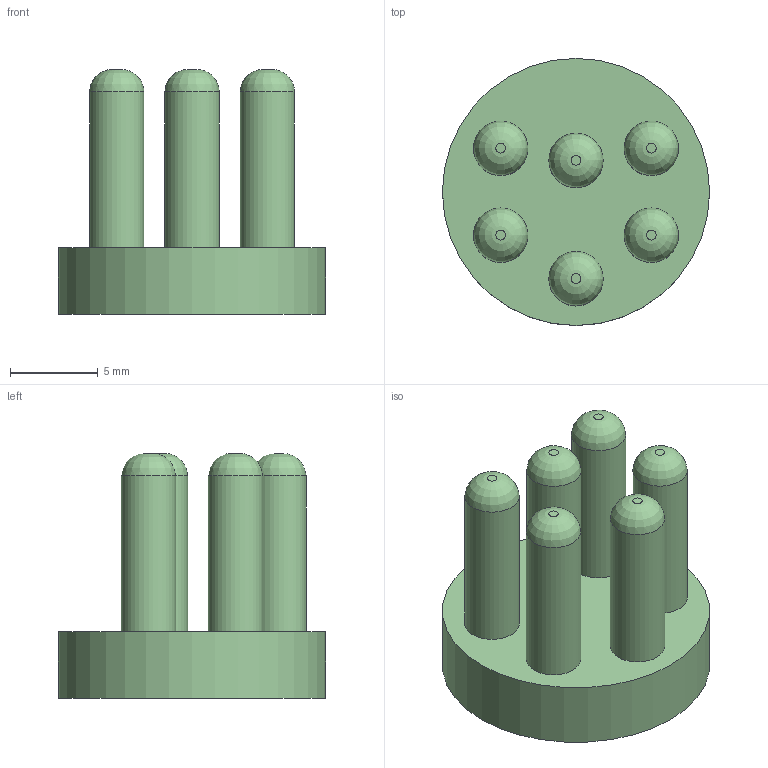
import cadquery as cq
import math

base_diameter = 15.24
base_height = 3.81

pin_diameter = 3.1
pin_length = 10.16
tip_radius = 1.27

pitch_radius = 4.96
pitch_angles = (30, 150, 210, 270, 330)
key_pin_y = 1.79


def pitch_point(angle):
    """Return the XY point on the pitch circle at an angle in degrees."""
    radians = math.radians(angle)
    return (pitch_radius * math.cos(radians), pitch_radius * math.sin(radians))


def make_base():
    """Disc standing on the XY plane, centred on Z."""
    return cq.Workplane("XY").circle(base_diameter / 2).extrude(base_height)


def make_pin(x, y):
    """Pin rising from the top of the base, with its tip rounded to a small flat."""
    pin = cq.Workplane("XY", origin=(x, y, base_height)).circle(pin_diameter / 2).extrude(pin_length)
    return pin.faces(">Z").edges().fillet(tip_radius)


pin_points = [pitch_point(angle) for angle in pitch_angles]
pin_points.append((0, key_pin_y))

result = make_base()
for pin_x, pin_y in pin_points:
    result = result.union(make_pin(pin_x, pin_y))